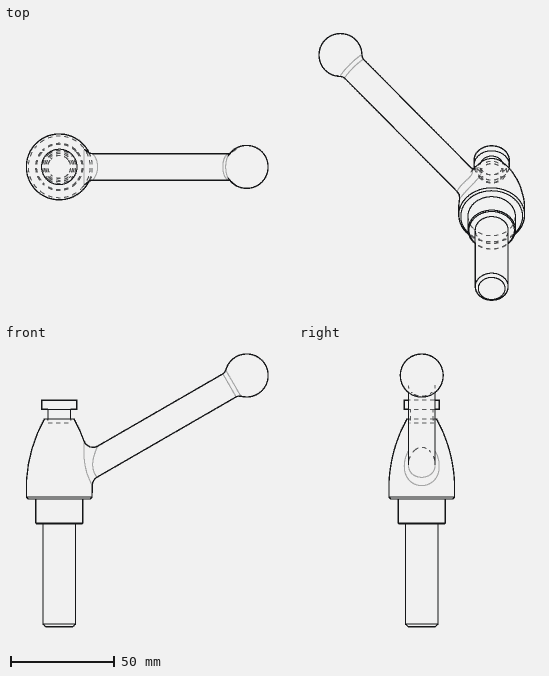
import cadquery as cq
import math

stem_diameter = 16.0
stem_length = 50.0
stem_chamfer = 1.5
collar_diameter = 23.0
collar_top_z = 62.0
collar_chamfer = 0.5

hub_radius = 16.0
hub_bevel = 1.0
hub_top_z = 101.0
hub_top_radius = 7.2
flank_mid_radius = 14.2
flank_mid_z = 83.0

neck_diameter = 11.0
bore_diameter = 11.2
bore_depth = 2.0
button_diameter = 17.2
button_bottom_z = 105.6
button_top_z = 110.0

arm_angle = 30.0
arm_diameter = 13.0
arm_root_fillet = 4.5
ball_diameter = 21.0
ball_x = 90.9
ball_z = 122.0
ball_fillet = 3.0


def disc(diameter, bottom_z, top_z):
    """Upright cylinder about the Z axis."""
    return cq.Workplane("XY", origin=(0, 0, bottom_z)).circle(diameter / 2).extrude(top_z - bottom_z)


def make_stem():
    stem = disc(stem_diameter, 0, collar_top_z).faces("<Z").chamfer(stem_chamfer)
    collar = disc(collar_diameter, stem_length, collar_top_z).faces("<Z").chamfer(collar_chamfer)
    return stem.union(collar)


def make_hub():
    """Revolve the outline drawn on the -X side, so its seam stays clear of the arm."""
    return (
        cq.Workplane("XZ")
        .moveTo(0, collar_top_z)
        .lineTo(-(hub_radius - hub_bevel), collar_top_z)
        .lineTo(-hub_radius, collar_top_z + hub_bevel)
        .threePointArc((-flank_mid_radius, flank_mid_z), (-hub_top_radius, hub_top_z))
        .lineTo(0, hub_top_z)
        .close()
        .revolve(360, (0, 0, 0), (0, 1, 0))
    )


def make_lever():
    """Arm from the hub axis to the centre of the ball, with a fillet under the ball."""
    slope = math.radians(arm_angle)
    along_x = math.cos(slope)
    along_z = math.sin(slope)
    arm_length = ball_x / along_x
    start_z = ball_z - arm_length * along_z
    axis_plane = cq.Plane(origin=(0, 0, start_z), xDir=(0, 1, 0), normal=(along_x, 0, along_z))
    arm = cq.Workplane(axis_plane).circle(arm_diameter / 2).extrude(arm_length)
    ball = cq.Workplane("XY", origin=(ball_x, 0, ball_z)).sphere(ball_diameter / 2)
    ball_radius = ball_diameter / 2
    arm_radius = arm_diameter / 2
    seam_offset = math.sqrt(ball_radius**2 - arm_radius**2)
    seam_centre = (ball_x - seam_offset * along_x, 0, ball_z - seam_offset * along_z)
    lever = arm.union(ball)
    return lever.edges(cq.selectors.NearestToPointSelector(seam_centre)).fillet(ball_fillet)


def make_button():
    neck = disc(neck_diameter, hub_top_z - bore_depth, button_bottom_z)
    return neck.union(disc(button_diameter, button_bottom_z, button_top_z))


def blend_arm_root(body):
    """Fillet the seam where the arm leaves the hub flank."""
    seam = cq.selectors.BoxSelector(
        (arm_diameter / 2, -arm_diameter, collar_top_z + hub_bevel),
        (hub_radius + arm_diameter / 2, arm_diameter, hub_top_z),
    )
    return body.edges(seam).fillet(arm_root_fillet)


hub = blend_arm_root(make_hub().union(make_lever()))
bore = disc(bore_diameter, hub_top_z - bore_depth, hub_top_z)
result = hub.cut(bore).union(make_stem()).union(make_button())